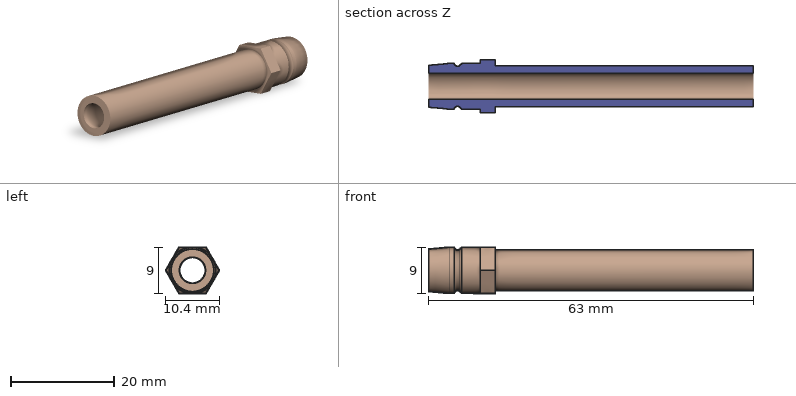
import cadquery as cq
import math

total_length = 63.0
taper_end = 4.05
groove_start = 5.0
groove_arc_end = 6.0
groove_end = 6.5
hex_start = 10.0
hex_end = 13.0

bore_diameter = 5.0
tube_diameter = 8.0
collar_diameter = 9.0
nose_diameter = 8.25
groove_middle_diameter = 7.95
groove_arc_end_diameter = 8.05
hex_across_flats = collar_diameter

nose_radius = nose_diameter / 2
collar_radius = collar_diameter / 2
tube_radius = tube_diameter / 2
hex_across_corners = hex_across_flats / math.cos(math.radians(30))


def turned_body():
    """Solid of revolution about X: tapered nose, grooved collar and long tube."""
    groove_middle = (groove_start + groove_arc_end) / 2
    profile = (
        cq.Workplane("XZ")
        .lineTo(0, nose_radius)
        .lineTo(taper_end, collar_radius)
        .lineTo(groove_start, collar_radius)
        .threePointArc(
            (groove_middle, groove_middle_diameter / 2),
            (groove_arc_end, groove_arc_end_diameter / 2),
        )
        .lineTo(groove_end, collar_radius)
        .lineTo(hex_start, collar_radius)
        .lineTo(hex_start, tube_radius)
        .lineTo(total_length, tube_radius)
        .lineTo(total_length, 0)
        .close()
    )
    return profile.revolve(360, (0, 0, 0), (1, 0, 0))


def hex_flange():
    """Hexagon with corners on +Y and -Y and flats on top and bottom."""
    return (
        cq.Workplane("YZ", origin=(hex_start, 0, 0))
        .polygon(6, hex_across_corners)
        .extrude(hex_end - hex_start)
    )


def bore():
    """Cylinder along the whole axis, removed to leave a through passage."""
    return cq.Workplane("YZ").circle(bore_diameter / 2).extrude(total_length)


result = turned_body().union(hex_flange()).cut(bore())